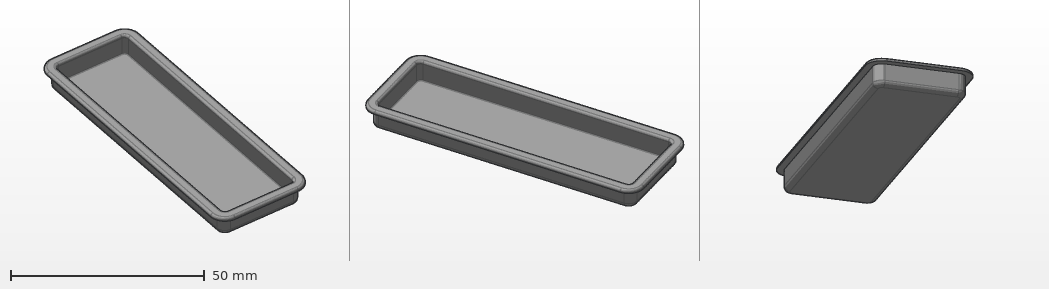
import cadquery as cq

length = 81.5
width = 29.0
height = 7.0

wall = 1.3
floor_thickness = 1.0
flange_thickness = 1.0
flange_overhang = 1.95
flange_corner_radius = 4.5

rim_outer_fillet = 0.7
rim_inner_fillet = 0.7
base_outer_fillet = 1.5
base_inner_fillet = base_outer_fillet - wall

cavity_inset = flange_overhang + wall


def rounded_block(inset, bottom, top):
    """Upright block whose sides and corners are set in from the flange outline."""
    return (
        cq.Workplane("XY", origin=(0, 0, bottom))
        .rect(length - 2 * inset, width - 2 * inset)
        .extrude(top - bottom)
        .edges("|Z")
        .fillet(flange_corner_radius - inset)
    )


flange = rounded_block(0, height - flange_thickness, height).faces(">Z").edges().fillet(rim_outer_fillet)

tub = rounded_block(flange_overhang, 0, height).faces("<Z").edges().fillet(base_outer_fillet)

cavity = rounded_block(cavity_inset, floor_thickness, height).faces("<Z").edges().fillet(base_inner_fillet)

tray = flange.union(tub).cut(cavity)

mouth_half_length = length / 2 - cavity_inset
mouth_half_width = width / 2 - cavity_inset
mouth_margin = wall / 2
mouth_edges = cq.selectors.BoxSelector(
    (-mouth_half_length - mouth_margin, -mouth_half_width - mouth_margin, height - mouth_margin),
    (mouth_half_length + mouth_margin, mouth_half_width + mouth_margin, height + mouth_margin),
    boundingbox=True,
)
result = tray.edges(mouth_edges).fillet(rim_inner_fillet)